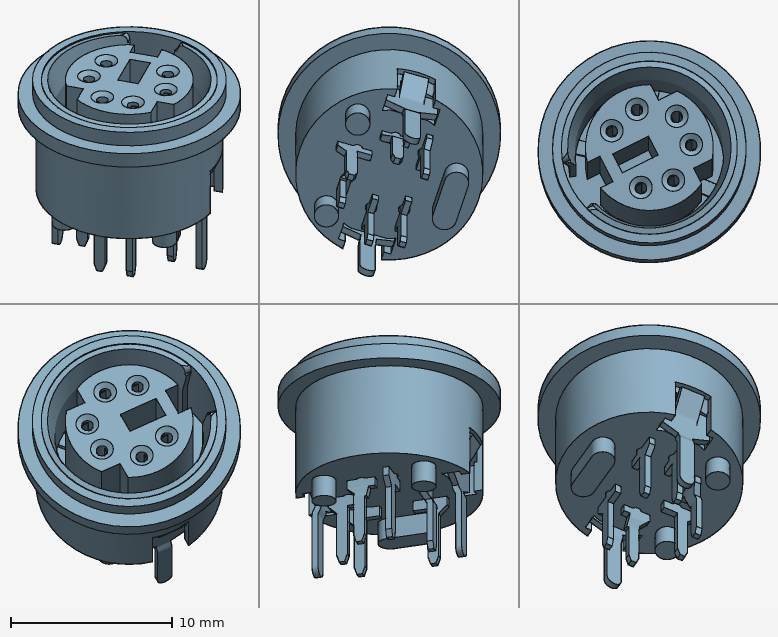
import cadquery as cq
import math


SHEET = 0.4
BEND_RADIUS = 0.2

FLANGE_DIA = 13.8
RIM_DIA = 12.0
BODY_DIA = 11.6
BORE_DIA = 10.9
RIM_HEIGHT = 1.0
HOUSING_HEIGHT = 8.0
FLANGE_TOP = HOUSING_HEIGHT - RIM_HEIGHT
FLANGE_BOTTOM = FLANGE_TOP - RIM_HEIGHT
FLOOR_Z = 2.0

CORE_DIA = 7.92
KEY_WIDTH = 1.8
KEY_BOTTOM_Y = 2.98
CORNER_X = 2.4
CORNER_Y = -1.86
POCKET_WIDTH = 1.32
POCKET_LENGTH = 2.48
POCKET_CENTRE_Y = 0.97
POCKET_DEPTH = 4.97

RIB_WIDTH = 0.88
RIB_ANGLES = (50, 130, 220, 320)
RIB_TOP = 2.32

PEG_DIA = 1.5
PEG_HEIGHT = 1.4
FRONT_PEG_X = 3.25
FRONT_PEG_Y = -3.06
REAR_PEG_LENGTH = 4.0
REAR_PEG_Y = 3.97

WALL_SLOT_WIDTH = 2.5
WALL_SLOT_TOP = 3.13
FLOOR_SLOT_WIDTH = 3.4
WALL_SLOT_INNER_X = 4.18
FLOOR_SLOT_INNER_DIA = 8.7
FLOOR_SLOT_OUTER_X = 5.12

HOLE_DIA = 0.7
HOLE_MOUTH_DIA = 1.41
MOUTH_DEPTH = 0.22
FORK_WIDTH = 0.91
FORK_GAP = 0.54
FORK_TOP = 7.52
FORK_BOTTOM = 4.14
SHOULDER_HALF = 0.91
SHOULDER_BOTTOM = -0.68
BEVEL_TOP = -0.58
BEVEL_BOTTOM = -1.12
JOGGLE_TOP = -0.66
JOGGLE_BOTTOM = -1.34
NECK_HALF = 0.5
NECK_BOTTOM = -1.42
BLADE_WIDTH = 0.7
BLADE_HALF = BLADE_WIDTH / 2
BLADE_OFFSET = SHEET
TIP_HALF = 0.18
TIP_START = -4.02
BLADE_BOTTOM = -4.5

FLAT_CONTACTS = ((-2.0, 1.6, 180), (2.0, 1.6, 0), (-2.5, -0.4, 180), (1.0, -2.4, 270))
BENT_CONTACTS = ((-1.0, -2.4, 0), (2.5, -0.4, 90))

RING_TOP_INNER_R = 5.06
RING_INNER_R = 4.61
FUNNEL_BOTTOM = 6.07
RING_BOTTOM = RIB_TOP
RING_GAP_ANGLE = 34.0
RING_GAP_ROUND = 0.5
PLATE_INNER_X = 4.29
PLATE_X = PLATE_INNER_X + SHEET / 2
PLATE_HALF = 1.67
PLATE_CORNER_Z = 0.17
PLATE_NECK_Z = -0.32
LEG_WIDTH = 1.01
LEG_HALF = LEG_WIDTH / 2
LEG_BOTTOM = -5.0
LEG_STEP = 0.2
LEG_BEND_TOP = -0.47
LEG_BEND_BOTTOM = -0.87
WINDOW_WIDTH = 1.6
WINDOW_BOTTOM = 1.12
WINDOW_TOP = 3.1
FINGER_ROOT_Z = 0.69
FINGER_BEND_Z = 1.38
FINGER_BEND_RADIUS = 0.62
FINGER_TIP_X = 5.53
FINGER_TIP_Z = 3.0


def cylinder(dia, z_bottom, z_top):
    return cq.Workplane("XY").workplane(offset=z_bottom).circle(dia / 2).extrude(z_top - z_bottom)


def block(x_min, x_max, y_min, y_max, z_min, z_max):
    size = (x_max - x_min, y_max - y_min, z_max - z_min)
    return cq.Workplane("XY").box(*size, centered=False).translate((x_min, y_min, z_min))


def bent_sheet(plane, path, bend_radius, half_width):
    """Sheet that follows the centre line `path`, with an arc at each bend, extruded to both sides."""
    mid_radius = bend_radius + SHEET / 2
    points = [cq.Vector(*point) for point in path]
    directions = [(end - start).normalized() for start, end in zip(points, points[1:])]
    normals = [cq.Vector(-d.y, d.x) for d in directions]

    bends = []
    for i in range(1, len(points) - 1):
        before = directions[i - 1]
        after = directions[i]
        turn = math.asin(before.cross(after).z)
        tangent = mid_radius * math.tan(abs(turn) / 2)
        side = math.copysign(1, turn)
        centre = points[i] - before * tangent + normals[i - 1] * (side * mid_radius)
        spokes = (normals[i - 1] * -side, (points[i] - centre).normalized(), normals[i] * -side)
        bends.append((centre, side, spokes))

    def at(point):
        return (point.x, point.y)

    half = SHEET / 2
    outline = cq.Workplane(plane).moveTo(*at(points[0] + normals[0] * half))
    for centre, side, spokes in bends:
        start, middle, end = (centre + spoke * (mid_radius - side * half) for spoke in spokes)
        outline = outline.lineTo(*at(start)).threePointArc(at(middle), at(end))
    outline = outline.lineTo(*at(points[-1] + normals[-1] * half))
    outline = outline.lineTo(*at(points[-1] - normals[-1] * half))
    for centre, side, spokes in reversed(bends):
        end, middle, start = (centre + spoke * (mid_radius + side * half) for spoke in spokes)
        outline = outline.lineTo(*at(start)).threePointArc(at(middle), at(end))
    outline = outline.lineTo(*at(points[0] - normals[0] * half))
    return outline.close().extrude(half_width, both=True)


def make_core():
    """Round core with a key notch at +Y, two corner notches at -Y and a blind pocket."""
    core_r = CORE_DIA / 2
    core = cylinder(CORE_DIA, 0, HOUSING_HEIGHT)
    core = core.cut(block(-KEY_WIDTH / 2, KEY_WIDTH / 2, KEY_BOTTOM_Y, core_r, FLOOR_Z, HOUSING_HEIGHT))
    for x_min, x_max in ((-core_r, -CORNER_X), (CORNER_X, core_r)):
        core = core.cut(block(x_min, x_max, -core_r, CORNER_Y, FLOOR_Z, HOUSING_HEIGHT))
    pocket = (
        cq.Workplane("XY")
        .workplane(offset=HOUSING_HEIGHT - POCKET_DEPTH)
        .center(0, POCKET_CENTRE_Y)
        .rect(POCKET_WIDTH, POCKET_LENGTH)
        .extrude(POCKET_DEPTH)
    )
    return core.cut(pocket)


def make_ribs():
    """Radial ribs on the floor, from the socket axis out to the bore."""
    ribs = cq.Workplane("XY")
    for angle in RIB_ANGLES:
        rib = block(0, BORE_DIA / 2, -RIB_WIDTH / 2, RIB_WIDTH / 2, 0, RIB_TOP)
        ribs = ribs.add(rib.rotate((0, 0, 0), (0, 0, 1), angle))
    return ribs.combine()


def make_pegs():
    """Two round pegs towards -Y and one long peg at +Y."""
    pegs = (
        cq.Workplane("XY")
        .pushPoints([(-FRONT_PEG_X, FRONT_PEG_Y), (FRONT_PEG_X, FRONT_PEG_Y)])
        .circle(PEG_DIA / 2)
        .extrude(-PEG_HEIGHT)
    )
    long_peg = cq.Workplane("XY").center(0, REAR_PEG_Y).slot2D(REAR_PEG_LENGTH, PEG_DIA).extrude(-PEG_HEIGHT)
    return pegs.add(long_peg)


def make_leg_opening():
    """Opening on the +X side: a slot in the wall and a wider slot in the floor."""
    wall_half = WALL_SLOT_WIDTH / 2
    wall_slot = block(WALL_SLOT_INNER_X, BODY_DIA / 2, -wall_half, wall_half, 0, WALL_SLOT_TOP)
    floor_half = FLOOR_SLOT_WIDTH / 2
    floor_slot = block(0, FLOOR_SLOT_OUTER_X, -floor_half, floor_half, 0, RIB_TOP)
    floor_slot = floor_slot.cut(cylinder(FLOOR_SLOT_INNER_DIA, 0, RIB_TOP))
    return wall_slot.union(floor_slot)


def make_contact_hole():
    """Through hole with a conical mouth at the core top."""
    mouth_bottom = HOUSING_HEIGHT - MOUTH_DEPTH
    mouth = [
        (0, 0),
        (HOLE_DIA / 2, 0),
        (HOLE_DIA / 2, mouth_bottom),
        (HOLE_MOUTH_DIA / 2, HOUSING_HEIGHT),
        (0, HOUSING_HEIGHT),
    ]
    return cq.Workplane("XZ").polyline(mouth).close().revolve(360, (0, 0), (0, 1))


def make_fork():
    """Upright strip in the contact hole, with a round-bottomed gap between its two prongs."""
    outer = FORK_WIDTH / 2
    inner = FORK_GAP / 2
    return (
        cq.Workplane("XZ")
        .moveTo(-outer, 0)
        .lineTo(-outer, FORK_TOP)
        .lineTo(-inner, FORK_TOP)
        .lineTo(-inner, FORK_BOTTOM + inner)
        .threePointArc((0, FORK_BOTTOM), (inner, FORK_BOTTOM + inner))
        .lineTo(inner, FORK_TOP)
        .lineTo(outer, FORK_TOP)
        .lineTo(outer, 0)
        .close()
        .extrude(SHEET / 2, both=True)
    )


def blade_points(centre):
    """Blade end from its +X edge to its -X edge, tapering to the tip."""
    return [
        (centre + BLADE_HALF, TIP_START),
        (centre + TIP_HALF, BLADE_BOTTOM),
        (centre - TIP_HALF, BLADE_BOTTOM),
        (centre - BLADE_HALF, TIP_START),
    ]


def make_flat_contact():
    """Contact in one plane: the blade is set off sideways, towards +X."""
    outline = [
        (-SHOULDER_HALF, FLOOR_Z),
        (BLADE_OFFSET + SHOULDER_HALF, FLOOR_Z),
        (BLADE_OFFSET + SHOULDER_HALF, BEVEL_TOP),
        (BLADE_OFFSET + BLADE_HALF, BEVEL_BOTTOM),
        *blade_points(BLADE_OFFSET),
        (BLADE_OFFSET - BLADE_HALF, SHOULDER_BOTTOM),
        (-SHOULDER_HALF, SHOULDER_BOTTOM),
    ]
    plate = cq.Workplane("XZ").polyline(outline).close().extrude(SHEET / 2, both=True)
    return plate.union(make_fork())


def make_bent_contact():
    """Contact with a joggle: the blade is set off by one sheet thickness, towards -Y."""
    outline = [
        (-SHOULDER_HALF, FLOOR_Z),
        (SHOULDER_HALF, FLOOR_Z),
        (SHOULDER_HALF, BEVEL_TOP),
        (NECK_HALF, BEVEL_TOP),
        (NECK_HALF, NECK_BOTTOM),
        (BLADE_HALF, NECK_BOTTOM),
        *blade_points(0),
        (-BLADE_HALF, BEVEL_BOTTOM),
        (-SHOULDER_HALF, BEVEL_TOP),
    ]
    path = [
        (0, FLOOR_Z),
        (0, JOGGLE_TOP),
        (-BLADE_OFFSET, JOGGLE_BOTTOM),
        (-BLADE_OFFSET, BLADE_BOTTOM),
    ]
    face = cq.Workplane("XZ").polyline(outline).close().extrude(2 * SHEET, both=True)
    profile = bent_sheet("YZ", path, BEND_RADIUS, 2 * SHOULDER_HALF)
    return face.intersect(profile).union(make_fork())


def make_housing():
    housing = cylinder(BODY_DIA, 0, FLANGE_BOTTOM)
    housing = housing.union(cylinder(FLANGE_DIA, FLANGE_BOTTOM, FLANGE_TOP))
    housing = housing.union(cylinder(RIM_DIA, FLANGE_TOP, HOUSING_HEIGHT))
    housing = housing.cut(cylinder(BORE_DIA, FLOOR_Z, HOUSING_HEIGHT))
    housing = housing.union(make_core()).union(make_ribs()).union(make_pegs())

    opening = make_leg_opening()
    housing = housing.cut(opening).cut(opening.mirror("YZ"))

    for places, contact in ((FLAT_CONTACTS, make_flat_contact()), (BENT_CONTACTS, make_bent_contact())):
        for x, y, turn in places:
            housing = housing.cut(make_contact_hole().translate((x, y, 0)))
            housing = housing.union(contact.rotate((0, 0, 0), (0, 0, 1), turn).translate((x, y, 0)))
    return housing


def make_ring():
    """Sheet ring that opens into a funnel at the top and is split at +Y."""
    tilt = math.atan2(RING_TOP_INNER_R - RING_INNER_R, HOUSING_HEIGHT - FUNNEL_BOTTOM)
    rim_width = BORE_DIA / 2 - RING_TOP_INNER_R
    sheet = rim_width / math.cos(tilt)
    outer_r = RING_INNER_R + sheet
    profile = [
        (RING_INNER_R, RING_BOTTOM),
        (RING_INNER_R, FUNNEL_BOTTOM),
        (RING_TOP_INNER_R, HOUSING_HEIGHT),
        (BORE_DIA / 2, HOUSING_HEIGHT - rim_width * math.tan(tilt)),
        (outer_r, FUNNEL_BOTTOM - sheet * math.tan(tilt / 2)),
        (outer_r, RING_BOTTOM),
    ]
    ring = cq.Workplane("XZ").polyline(profile).close().revolve(360, (0, 0), (0, 1))
    return ring.cut(make_ring_gap())


def make_ring_gap():
    """Wedge-shaped gap at +Y that widens at the top, so that the upper corners of the ring are round."""
    reach_y = BORE_DIA
    reach_x = reach_y * math.tan(math.radians(RING_GAP_ANGLE / 2))
    wedge = (
        cq.Workplane("XY")
        .polyline([(0, 0), (reach_x, reach_y), (-reach_x, reach_y)])
        .close()
        .extrude(HOUSING_HEIGHT)
    )
    half = BORE_DIA / 2 * math.sin(math.radians(RING_GAP_ANGLE / 2))
    wide = half + RING_GAP_ROUND
    low = HOUSING_HEIGHT - RING_GAP_ROUND
    arc_x = wide - RING_GAP_ROUND * math.sqrt(0.5)
    arc_z = low + RING_GAP_ROUND * math.sqrt(0.5)
    flare = (
        cq.Workplane("XZ")
        .moveTo(-half, low)
        .threePointArc((-arc_x, arc_z), (-wide, HOUSING_HEIGHT))
        .lineTo(wide, HOUSING_HEIGHT)
        .threePointArc((arc_x, arc_z), (half, low))
        .close()
        .extrude(-BORE_DIA / 2)
    )
    return wedge.union(flare)


def make_leg():
    """Flat plate and solder leg on the +X side of the ring."""
    round_start = LEG_BOTTOM + LEG_HALF
    outline = (
        cq.Workplane("YZ")
        .moveTo(-PLATE_HALF, WINDOW_TOP)
        .lineTo(-PLATE_HALF, PLATE_CORNER_Z)
        .lineTo(-LEG_HALF, PLATE_NECK_Z)
        .lineTo(-LEG_HALF, round_start)
        .threePointArc((0, LEG_BOTTOM), (LEG_HALF, round_start))
        .lineTo(LEG_HALF, PLATE_NECK_Z)
        .lineTo(PLATE_HALF, PLATE_CORNER_Z)
        .lineTo(PLATE_HALF, WINDOW_TOP)
        .close()
        .extrude(FLANGE_DIA / 2)
    )
    path = [
        (PLATE_X, WINDOW_TOP),
        (PLATE_X, LEG_BEND_TOP),
        (PLATE_X + LEG_STEP, LEG_BEND_BOTTOM),
        (PLATE_X + LEG_STEP, LEG_BOTTOM),
    ]
    return bent_sheet("XZ", path, BEND_RADIUS, PLATE_HALF).intersect(outline)


def make_window():
    half = WINDOW_WIDTH / 2
    return block(PLATE_INNER_X, BORE_DIA / 2, -half, half, WINDOW_BOTTOM, WINDOW_TOP)


def make_finger():
    """Spring finger cut from the plate and bent out towards +X."""
    path = [(PLATE_X, FINGER_ROOT_Z), (PLATE_X, FINGER_BEND_Z), (FINGER_TIP_X, FINGER_TIP_Z)]
    return bent_sheet("XZ", path, FINGER_BEND_RADIUS, WINDOW_WIDTH / 2)


def make_shield():
    leg = make_leg()
    window = make_window()
    finger = make_finger()
    shield = make_ring().union(leg).union(leg.mirror("YZ"))
    shield = shield.cut(window).cut(window.mirror("YZ"))
    return shield.union(finger).union(finger.mirror("YZ"))


housing = make_housing()
shield = make_shield()
result = cq.Compound.makeCompound([housing.val(), shield.val()])